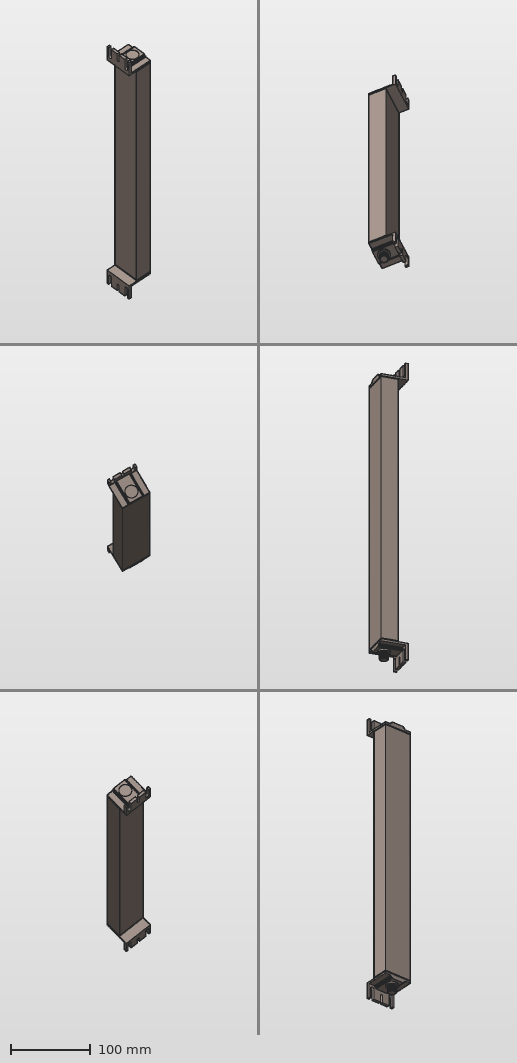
import cadquery as cq

width = 40.0
depth = 37.0
length = 410.0
back_y = depth / 2
front_y = -depth / 2
end_z = length / 2

leg_height = 23.0
leg_thickness = 4.0
plate_thickness = 3.0

side_slot_width = 5.0
side_slot_depth = 17.0
side_slot_offset = 14.8
middle_slot_width = 3.25
middle_slot_depth = 11.5

bar_depth = 23.8
cap_thickness = 1.2
cap_inset = 0.2
frame_width = 1.0
window_recess = 0.5
bar_axis_y = back_y - bar_depth / 2

block_top_width = 18.5
step_count = 3
step_height = 1.2
step_run = 1.2
block_height = step_count * step_height

cover_diameter = 16.5
cover_recess = 0.5

collar_diameter = 16.0
collar_height = 2.5
thread_diameter = 12.0
root_diameter = 10.2
groove_count = 6
thread_pitch = 1.5
thread_length = groove_count * thread_pitch
tip_chamfer = 1.2

plate_inner_z = end_z - leg_height
plate_outer_z = plate_inner_z + plate_thickness
block_outer_z = plate_outer_z + block_height


def box(x_size, y_min, y_max, z_min, z_max):
    """Box centred on X, spanning the given Y and Z ranges."""
    return cq.Workplane("XY").box(x_size, y_max - y_min, z_max - z_min).translate(
        (0, (y_min + y_max) / 2, (z_min + z_max) / 2)
    )


def leg_slot(x, slot_width, slot_depth):
    """Cutter for a round-bottomed slot open at the upper end of the leg."""
    radius = slot_width / 2
    return (
        cq.Workplane("XZ", origin=(x, front_y + leg_thickness, end_z))
        .moveTo(-radius, 0)
        .lineTo(-radius, radius - slot_depth)
        .threePointArc((0, -slot_depth), (radius, radius - slot_depth))
        .lineTo(radius, 0)
        .close()
        .extrude(leg_thickness)
    )


def stepped_block():
    """Block on the plate whose two sides rise in equal steps."""
    block = cq.Workplane("XY")
    for i in range(step_count):
        layer_width = block_top_width + 2 * step_run * (step_count - 1 - i)
        layer_z = plate_outer_z + i * step_height
        block = block.union(
            box(layer_width, front_y + leg_thickness, back_y, layer_z, layer_z + step_height)
        )
    return block


def upper_bracket():
    """Slotted angle bracket with its stepped block."""
    plate = box(width, front_y, back_y, plate_inner_z, plate_outer_z)
    leg = box(width, front_y, front_y + leg_thickness, plate_inner_z, end_z)
    bracket = plate.union(leg).union(stepped_block())
    for side in (-1, 1):
        bracket = bracket.cut(leg_slot(side * side_slot_offset, side_slot_width, side_slot_depth))
    return bracket.cut(leg_slot(0, middle_slot_width, middle_slot_depth))


def bar():
    """Bar with slightly smaller end caps and a shallow window along its front."""
    bar_front_y = back_y - bar_depth
    bar_end_z = plate_inner_z - cap_thickness
    body = box(width, bar_front_y, back_y, -bar_end_z, bar_end_z)
    window = box(width - 2 * frame_width, bar_front_y, bar_front_y + window_recess, -bar_end_z, bar_end_z)
    caps = box(
        width - 2 * cap_inset,
        bar_front_y + cap_inset,
        back_y - cap_inset,
        -plate_inner_z,
        plate_inner_z,
    )
    return body.union(caps).cut(window)


def cylinder(diameter, z_top, height):
    """Cylinder on the connector axis, reaching down from z_top."""
    return cq.Workplane("XY", origin=(0, bar_axis_y, z_top)).circle(diameter / 2).extrude(-height)


def connector():
    """Collar and ringed thread hanging from the lower block."""
    collar_bottom_z = -block_outer_z - collar_height
    thread = cylinder(thread_diameter, collar_bottom_z, thread_length).faces("<Z").chamfer(tip_chamfer)
    groove_height = thread_pitch / 2
    for i in range(groove_count):
        groove_z = collar_bottom_z - i * thread_pitch
        ring = cylinder(collar_diameter, groove_z, groove_height)
        thread = thread.cut(ring.cut(cylinder(root_diameter, groove_z, groove_height)))
    return cylinder(collar_diameter, -block_outer_z, collar_height).union(thread)


bracket = upper_bracket()
result = bar().union(bracket).union(bracket.mirror("XY")).union(connector())
result = result.cut(cylinder(cover_diameter, block_outer_z, cover_recess))